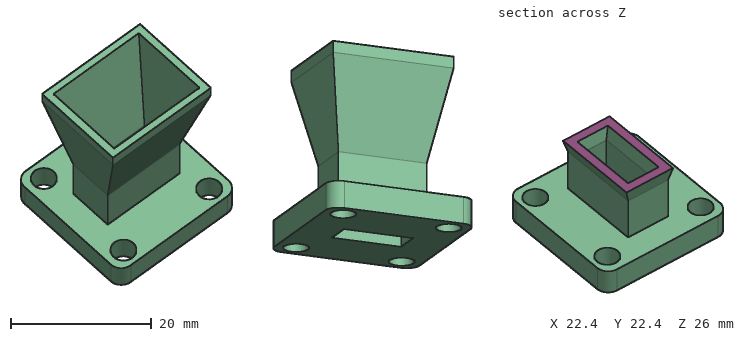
import cadquery as cq

flange_side = 22.4
flange_thickness = 4.0
flange_corner_radius = 2.0
hole_diameter = 3.7
hole_spacing_x = 17.0
hole_spacing_y = 16.3

guide_x = 4.318
guide_y = 10.668
guide_wall = 1.5
neck_x = guide_x + 2 * guide_wall
neck_y = guide_y + 2 * guide_wall

mouth_x = 12.95
mouth_y = 16.2
rim_x = 15.15
rim_y = 18.64
rim_height = 1.7

total_height = 26.0
throat_z = 10.95
rim_z = total_height - rim_height


def block(size_x, size_y, bottom_z, top_z):
    """Centred rectangular block between two heights."""
    return cq.Workplane("XY").workplane(offset=bottom_z).rect(size_x, size_y).extrude(top_z - bottom_z)


def taper(bottom_x, bottom_y, bottom_z, top_x, top_y, top_z):
    """Centred rectangular frustum between two heights."""
    return (
        cq.Workplane("XY")
        .workplane(offset=bottom_z)
        .rect(bottom_x, bottom_y)
        .workplane(offset=top_z - bottom_z)
        .rect(top_x, top_y)
        .loft(ruled=True)
    )


def make_flange():
    """Flange with rounded vertical corners and four through holes."""
    return (
        block(flange_side, flange_side, 0, flange_thickness)
        .edges("|Z")
        .fillet(flange_corner_radius)
        .faces(">Z")
        .workplane()
        .rect(hole_spacing_x, hole_spacing_y, forConstruction=True)
        .vertices()
        .hole(hole_diameter)
    )


def make_horn_body():
    """Solid outside of the neck, flare and rim."""
    neck = block(neck_x, neck_y, flange_thickness, throat_z)
    flare = taper(neck_x, neck_y, throat_z, rim_x, rim_y, rim_z)
    rim = block(rim_x, rim_y, rim_z, total_height)
    return neck.union(flare).union(rim)


def make_cavity():
    """Straight guide opening into a flare that reaches the mouth."""
    guide = block(guide_x, guide_y, 0, throat_z)
    flare = taper(guide_x, guide_y, throat_z, mouth_x, mouth_y, total_height)
    return guide.union(flare)


result = make_flange().union(make_horn_body()).cut(make_cavity())